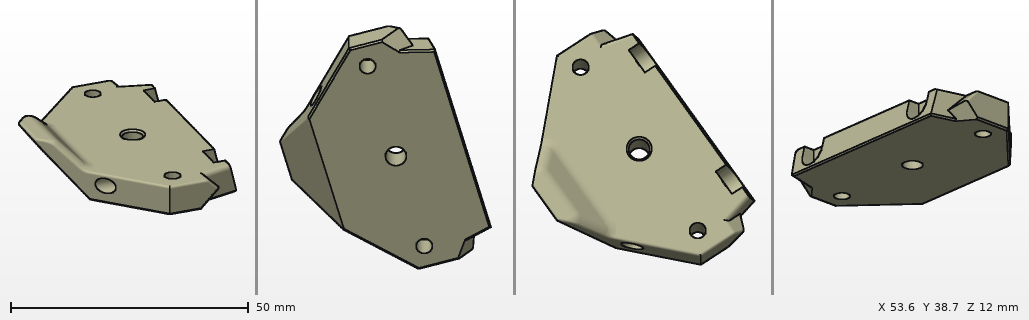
import cadquery as cq
import math

half_width = 53.59 / 2
plate_height = 6.6
total_height = 12.0
bottom_chamfer = 0.4
edge_radius = 0.5
beyond = 60.0
touch = 0.01

diagonal_start_y = -2.65
diagonal_angle = 44.0

lip_radius = 3.0
lip_base_y = -14.58
lip_base_half_width = 12.44
lip_rise = total_height - plate_height
front_y = -24.05
underside_angle = 51.8

back_y = 14.65
back_angle = 14.0

block_radius = 1.0
block_back_half_width = 21.55
block_front_y = 2.0
block_side_angle = 14.5

ear_slope_y = 6.09
undercut_wall_y = {-1: 5.8, 1: 4.17}
undercut_rake = {-1: 0.7, 1: 0.85}

centre_hole_diameter = 4.4
centre_countersink_diameter = 5.3
screw_hole_diameter = 3.4
side_hole_x = 21.8
cross_hole_x = 16.2
cross_hole_z = 4.1
slot_width = 6.0
slot_front_y = 10.48

half_tip = math.radians(underside_angle / 2)
tip_y = front_y + edge_radius - edge_radius / math.tan(half_tip)
underside_run = total_height / math.tan(math.radians(underside_angle))
underside_base_y = tip_y + underside_run
back_lean = math.tan(math.radians(back_angle))
diagonal_slope = math.tan(math.radians(diagonal_angle))
block_spread = math.tan(math.radians(block_side_angle))


def full_width_prism(points):
    """Prism along X between the side walls, with a (y, z) outline."""
    return cq.Workplane("YZ").polyline(points).close().extrude(half_width, both=True)


def plate_with_lip():
    """Oversized plate with the blended lip, before the outer walls are cut."""
    plate = cq.Workplane("XY").box(4 * half_width, 2 * beyond, plate_height, centered=(True, True, False))
    lip = (
        cq.Workplane("XY", origin=(0, lip_base_y - beyond / 2, plate_height))
        .rect(2 * lip_base_half_width, beyond)
        .extrude(lip_rise, taper=45)
    )
    front_cut_y = tip_y - 2 * lip_radius
    trim = cq.Workplane("XY", origin=(0, front_cut_y + beyond / 2, 0)).box(4 * half_width, beyond, beyond)
    body = plate.union(lip).intersect(trim)
    outer = cq.selectors.BoxSelector(
        (-beyond, front_cut_y + touch, plate_height + touch), (beyond, beyond, beyond)
    )
    body = body.edges(outer).fillet(lip_radius)
    foot = cq.selectors.BoxSelector(
        (-lip_base_half_width - touch, front_cut_y + touch, plate_height - touch),
        (lip_base_half_width + touch, lip_base_y + touch, plate_height + touch),
    )
    return body.edges(foot).fillet(lip_radius)


def front_outline():
    """Prism inside the side walls and diagonals, running far past the back face."""
    corner_y = diagonal_start_y - half_width * diagonal_slope
    points = [
        (-half_width, beyond),
        (-half_width, diagonal_start_y),
        (0, corner_y),
        (half_width, diagonal_start_y),
        (half_width, beyond),
    ]
    return cq.Workplane("XY").polyline(points).close().extrude(total_height)


def side_profile():
    """Side outline of the wings: front underside, and the 45 degree ear slope."""
    points = [
        (underside_base_y, 0),
        (tip_y, total_height),
        (ear_slope_y, total_height),
        (ear_slope_y, plate_height),
        (ear_slope_y + plate_height, 0),
    ]
    return full_width_prism(points)


def ear_undercut(side):
    """Wedge removed below one ear; its face rises 45 degrees to the back and is raked in X."""
    wall_y = undercut_wall_y[side]
    inner_y = wall_y + undercut_rake[side] * half_width
    base = [
        (0, inner_y),
        (side * half_width, wall_y),
        (side * half_width, wall_y + beyond),
        (0, inner_y + beyond),
    ]
    lifted = [(x, y + beyond) for x, y in base]
    wires = [
        cq.Wire.makePolygon([cq.Vector(x, y, z) for x, y in ring], close=True)
        for ring, z in ((base, 0), (lifted, beyond))
    ]
    return cq.Workplane(obj=cq.Solid.makeLoft(wires, True))


def is_outer_rim(edge):
    """True for the edges of the outer walls and the lip's tip, without upright corners and bottom edges."""
    middle = edge.positionAt(0.5)
    if middle.y < tip_y + touch:
        return True
    wall_y = diagonal_start_y - (half_width - abs(middle.x)) * diagonal_slope
    on_wall = abs(middle.x) > half_width - touch or middle.y < wall_y + touch
    return on_wall and not is_wall_corner(edge) and middle.z > touch


def is_wall_corner(edge):
    """True for the upright corners of the plan outline."""
    return abs(edge.tangentAt(0.5).z) > 1 - touch


def wings():
    """Front part with lip and ears, everything outside the centre block."""
    body = plate_with_lip().intersect(front_outline()).intersect(side_profile())
    ear_top = cq.selectors.BoxSelector(
        (-beyond, ear_slope_y - touch, plate_height - touch),
        (beyond, ear_slope_y + touch, plate_height + touch),
    )
    body = body.edges(ear_top).fillet(block_radius)
    body = body.edges().filter(is_outer_rim).fillet(edge_radius)
    body = body.intersect(front_outline().faces("<Z").edges().chamfer(bottom_chamfer))
    for side in (-1, 1):
        body = body.cut(ear_undercut(side))
    return body


def centre_block():
    """Block between the ears, with tapering sides, rounded top edges and a leaning back face."""
    back_foot_y = back_y + bottom_chamfer * back_lean
    front_half_width = block_back_half_width + block_spread * (back_y - block_front_y)
    rear_half_width = block_back_half_width - block_spread * (back_foot_y - back_y)
    plan = [
        (-front_half_width, block_front_y),
        (-rear_half_width, back_foot_y),
        (rear_half_width, back_foot_y),
        (front_half_width, block_front_y),
    ]
    block = cq.Workplane("XY").polyline(plan).close().extrude(plate_height)
    block = block.faces(">Z").edges("not |X").fillet(block_radius)
    back_profile = [
        (block_front_y, 0),
        (back_foot_y, 0),
        (back_foot_y - plate_height * back_lean, plate_height),
        (block_front_y, plate_height),
    ]
    block = block.intersect(full_width_prism(back_profile))
    return block.faces("<Z").edges("not <Y").chamfer(bottom_chamfer)


def upright_hole(x, diameter):
    """Cutter for a vertical through hole on the line y = 0."""
    return cq.Workplane("XY", origin=(x, 0, 0)).circle(diameter / 2).extrude(plate_height)


def centre_countersink():
    """45 degree cone at the top of the centre hole."""
    depth = (centre_countersink_diameter - centre_hole_diameter) / 2
    return (
        cq.Workplane("XY", origin=(0, 0, plate_height))
        .circle(centre_countersink_diameter / 2)
        .extrude(-depth, taper=45)
    )


def cross_hole(x):
    """Cutter for a screw hole along Y and its round-bottomed head slot, open to the top and back."""
    slot_end = cq.Workplane("XZ", origin=(x, slot_front_y, cross_hole_z))
    hole = slot_end.circle(screw_hole_diameter / 2).extrude(beyond)
    slot = (
        slot_end.moveTo(-slot_width / 2, 0)
        .threePointArc((0, -slot_width / 2), (slot_width / 2, 0))
        .lineTo(slot_width / 2, plate_height)
        .lineTo(-slot_width / 2, plate_height)
        .close()
        .extrude(-beyond)
    )
    return hole.union(slot)


def base_plate():
    """Complete part: wings and block joined, then drilled."""
    body = wings().union(centre_block())
    body = body.cut(upright_hole(0, centre_hole_diameter)).cut(centre_countersink())
    for side in (-1, 1):
        body = body.cut(upright_hole(side * side_hole_x, screw_hole_diameter))
        body = body.cut(cross_hole(side * cross_hole_x))
    return body


result = base_plate()